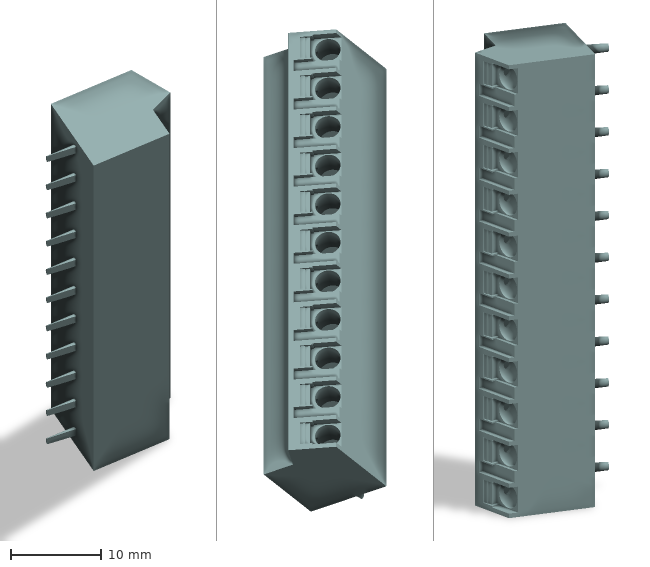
import cadquery as cq
import math

WIDTH = 10.0
LENGTH = 54.1
LOW_HEIGHT = 10.15
BODY_HEIGHT = 12.45
RIDGE_X = 4.85
VALLEY_X = 6.1
SHELF_HEIGHT = 9.6
SLOPE = math.atan2(BODY_HEIGHT - LOW_HEIGHT, RIDGE_X)

POLES = 11
FIRST_POLE = 1.75
LAST_POLE = 2.4
PITCH = (LENGTH - FIRST_POLE - LAST_POLE) / (POLES - 1)

POCKET_TOP = 0.5
POCKET_HEIGHT = 3.1
FLOOR_DEPTH = 1.0
FLOOR_UP_SLOPE = 2.65
STEP_HEIGHT = 2.75
STEPS = [(4.05, 0.15), (3.5, 0.25), (3.0, FLOOR_DEPTH)]

WIRE_HOLE_UP_SLOPE = 1.1
WIRE_HOLE_DIAMETER = 2.85
WIRE_HOLE_DEPTH = 3.25
PORT_DIAMETER = 1.2
PORT_DEPTH = 2.25
PORT_REACH = 0.25

RECESS_HEIGHT = 1.4
RECESS_DEPTH = 0.6
RECESS_UP_SLOPE = 4.75

PIN_DIAMETER = 1.15
PIN_LENGTH = 3.45
PIN_X = 5.8
PIN_FLAT_ROOT = 0.1
PIN_FLAT_TIP = -0.25

OVERCUT = 1.6


def housing():
    return (
        cq.Workplane("XY")
        .polyline([
            (0, 0), (WIDTH, 0), (WIDTH, SHELF_HEIGHT), (VALLEY_X, SHELF_HEIGHT),
            (RIDGE_X, BODY_HEIGHT), (0, LOW_HEIGHT),
        ])
        .close()
        .extrude(LENGTH)
    )


def slope_plane(z):
    """Plane at height z: local X runs up the slope, local Y points out of the sloped face."""
    return cq.Plane(
        origin=(0, LOW_HEIGHT, z),
        xDir=(math.cos(SLOPE), math.sin(SLOPE), 0),
        normal=(0, 0, 1),
    )


def slope_cut(z_top, height, up_slope, depth):
    """Block that opens the sloped face and the -X wall down to a floor parallel to the slope."""
    return (
        cq.Workplane(slope_plane(z_top - height))
        .moveTo(-OVERCUT, -depth)
        .lineTo(up_slope, -depth)
        .lineTo(up_slope, OVERCUT)
        .lineTo(-OVERCUT, OVERCUT)
        .close()
        .extrude(height)
    )


def wire_hole(z):
    plane = slope_plane(z)
    hole_plane = cq.Plane(
        origin=plane.toWorldCoords((WIRE_HOLE_UP_SLOPE, -FLOOR_DEPTH, 0)),
        xDir=(0, 0, 1),
        normal=-plane.yDir,
    )
    port_plane = cq.Plane(
        origin=plane.toWorldCoords((WIRE_HOLE_UP_SLOPE, -PORT_DEPTH, 0)),
        xDir=(0, 0, 1),
        normal=plane.xDir,
    )
    hole = cq.Workplane(hole_plane).circle(WIRE_HOLE_DIAMETER / 2).extrude(WIRE_HOLE_DEPTH)
    port = (
        cq.Workplane(port_plane)
        .circle(PORT_DIAMETER / 2)
        .extrude(WIRE_HOLE_DIAMETER / 2 + PORT_REACH)
    )
    return hole.union(port)


def pin(z):
    round_pin = (
        cq.Workplane("XZ", origin=(PIN_X, 0, z))
        .circle(PIN_DIAMETER / 2)
        .extrude(PIN_LENGTH)
    )
    kept_side = (
        cq.Workplane("XY", origin=(PIN_X, 0, z - PIN_DIAMETER))
        .polyline([
            (-PIN_DIAMETER, 0), (PIN_FLAT_ROOT, 0), (PIN_FLAT_TIP, -PIN_LENGTH), (-PIN_DIAMETER, -PIN_LENGTH),
        ])
        .close()
        .extrude(2 * PIN_DIAMETER)
    )
    return round_pin.intersect(kept_side)


result = housing()
for pole in range(POLES):
    pocket_top = LENGTH - POCKET_TOP - pole * PITCH
    pocket_center = pocket_top - POCKET_HEIGHT / 2
    pocket_bottom = pocket_top - POCKET_HEIGHT
    result = result.cut(slope_cut(pocket_top, POCKET_HEIGHT, FLOOR_UP_SLOPE, FLOOR_DEPTH))
    for up_slope, depth in STEPS:
        result = result.cut(slope_cut(pocket_center + STEP_HEIGHT / 2, STEP_HEIGHT, up_slope, depth))
    result = result.cut(wire_hole(pocket_center))
    if pole < POLES - 1:
        result = result.cut(slope_cut(pocket_bottom, RECESS_HEIGHT, RECESS_UP_SLOPE, RECESS_DEPTH))
    result = result.union(pin(LENGTH - FIRST_POLE - pole * PITCH))